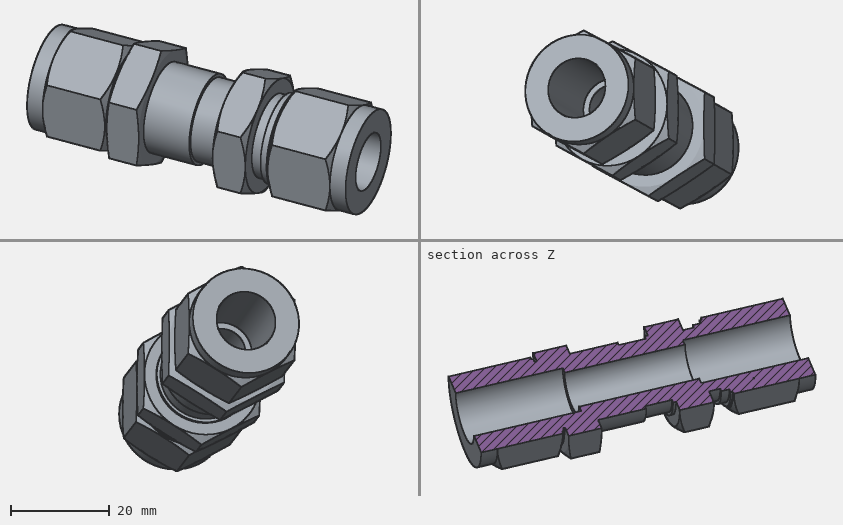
import cadquery as cq
import math

total_length = 71.0

nut_across_flats = 22.0
nut_collar_length = 3.5
nut_hex_length = 14.0
nut_outer_angle = 30.0
nut_inner_angle = 30.0
nut_inner_face_radius = 10.8
washer_radius = 10.45
washer_length = 0.4

body_radius = 9.6
thread_radius = 8.9
barrel_end = 35.5
thread_tail_start = 49.1
thread_tail_end = 51.4

body_hex_across_flats = 23.9
body_hex_start = 18.25
body_hex_length = 7.1
body_hex_angle = 15.0
lock_nut_across_flats = 24.0
lock_nut_start = 41.8
lock_nut_length = thread_tail_start - lock_nut_start
lock_nut_angle = 30.0
lock_collar_length = 0.65

bore_radius = 4.8
socket_radius = 6.1
socket_depth = 22.7

nut_end = nut_collar_length + nut_hex_length
washer_end = nut_end + washer_length


def cylinder(start, end, radius):
    """Round section along X from start to end."""
    return cq.Workplane("YZ", origin=(start, 0, 0)).circle(radius).extrude(end - start)


def chamfered_hex(start, length, across_flats, start_angle, end_angle, end_face_radius):
    """Hex prism along X, corners up and down, turned by a cone at each end."""
    flat_radius = across_flats / 2
    corner_radius = flat_radius / math.cos(math.radians(30))
    start_setback = (corner_radius - flat_radius) * math.tan(math.radians(start_angle))
    end_setback = (corner_radius - end_face_radius) * math.tan(math.radians(end_angle))
    end = start + length

    prism = (
        cq.Workplane("YZ", origin=(start, 0, 0))
        .transformed(rotate=(0, 0, 90))
        .polygon(6, 2 * corner_radius)
        .extrude(length)
    )
    turned_blank = (
        cq.Workplane("XY")
        .moveTo(start, 0)
        .lineTo(start, flat_radius)
        .lineTo(start + start_setback, corner_radius)
        .lineTo(end - end_setback, corner_radius)
        .lineTo(end, end_face_radius)
        .lineTo(end, 0)
        .close()
        .revolve(360, (0, 0, 0), (1, 0, 0))
    )
    return prism.intersect(turned_blank)


def compression_nut():
    """Nut at the X = 0 end: round collar, hex and the thin washer behind it."""
    collar = cylinder(0, nut_collar_length, nut_across_flats / 2)
    hexagon = chamfered_hex(
        nut_collar_length, nut_hex_length, nut_across_flats,
        nut_outer_angle, nut_inner_angle, nut_inner_face_radius,
    )
    washer = cylinder(nut_end, washer_end, washer_radius)
    return collar.union(hexagon).union(washer)


def body():
    """Stepped round core with the fixed hex and the lock nut."""
    barrel = cylinder(washer_end, barrel_end, body_radius)
    thread = cylinder(barrel_end, thread_tail_end, thread_radius)
    neck = cylinder(thread_tail_end, total_length - washer_end, body_radius)
    body_hex = chamfered_hex(
        body_hex_start, body_hex_length, body_hex_across_flats,
        body_hex_angle, body_hex_angle, body_hex_across_flats / 2,
    )
    lock_nut = chamfered_hex(
        lock_nut_start, lock_nut_length, lock_nut_across_flats,
        lock_nut_angle, lock_nut_angle, lock_nut_across_flats / 2,
    )
    lock_collar = cylinder(lock_nut_start - lock_collar_length, lock_nut_start, body_radius)
    return barrel.union(thread).union(neck).union(body_hex).union(lock_nut).union(lock_collar)


near_nut = compression_nut()
far_nut = near_nut.mirror("YZ", (total_length / 2, 0, 0))

result = (
    body()
    .union(near_nut)
    .union(far_nut)
    .cut(cylinder(0, total_length, bore_radius))
    .cut(cylinder(0, socket_depth, socket_radius))
    .cut(cylinder(total_length - socket_depth, total_length, socket_radius))
)